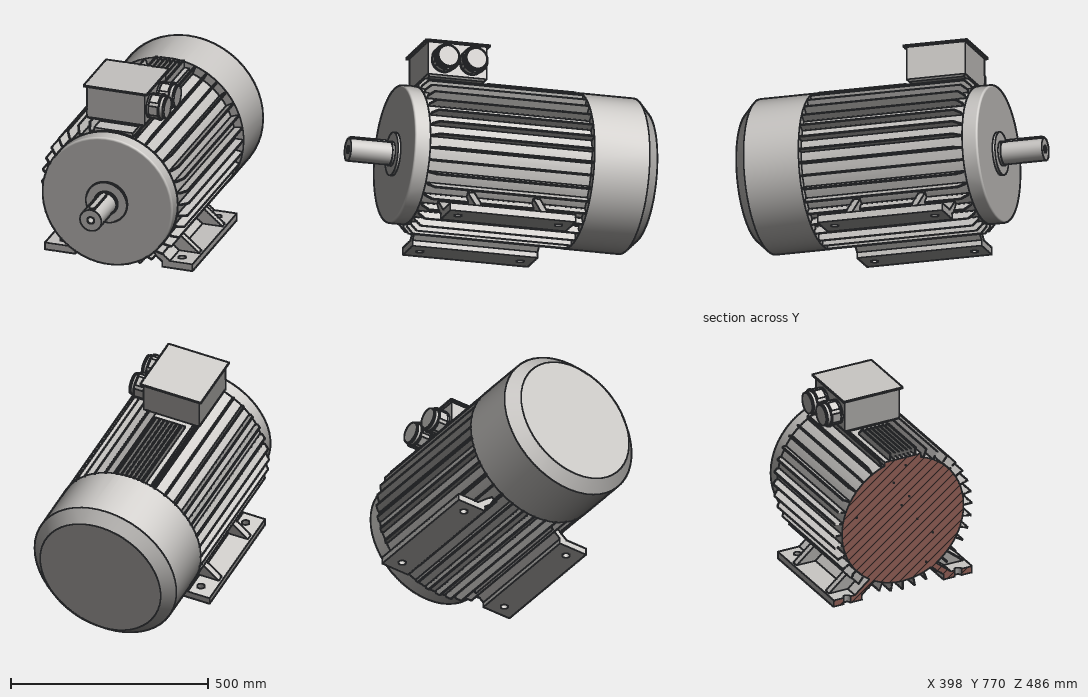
import cadquery as cq
import math


overall_length = 770
shaft_length = 110.0
boss_front = 116.0
flange_front = 123
flange_back = 164.0
fin_front = 168.0
fin_cut = 15.5
cowl_length = 176.0
cowl_front = overall_length - cowl_length

outer_radius = 199.0
core_radius = 350.0 / 2
flange_radius = 352.0 / 2
flange_fillet = 5.5
cowl_chamfer = 30.0
boss_radius = 110.0 / 2
collar_radius = 62.0 / 2
shaft_radius = 58.0 / 2
center_hole_diameter = 17.0
center_hole_mouth = 19.0
center_hole_depth = 31

key_length = 102.5
key_width = 16.0
key_top = 32.0

fin_pitch = 10
fin_thickness = 3.0
fin_radius = 198.0
fin_root = core_radius - 8
top_fin_thickness = 2.0
top_fin_spacing = 11.5
edge_fin_thickness = 4.0
edge_fin_x = 36.0
top_fin_front = 345.0

box_center = 266.5
box_width = 156.0
box_bottom = 191.0
box_chamfer = 5.5
lid_width = 169.5
lid_top = 286.0
lid_thickness = 4.0
pad_width = 105.0
pad_top = 178.0
pad_front = 171.0

gland_height = 235.0
gland_spacing = 75.0
gland_collar_diameter = 62.0
gland_collar_end = 84.0
nut_flats = 62.0
nut_corner_diameter = 67.0
nut_washer = 2.0
nut_end = 111.0
cap_diameter = 58.0
cap_end = 120.0
cap_tip_diameter = 55.0
cap_tip_end = 125.0

shaft_height = 200
foot_center = 376.0
foot_length = 333.0
foot_inner = 117.0
foot_thickness = 19.0
foot_wall_outer = 138.0
foot_wall_drop = 5.0
foot_slope = 40
wall_reach = 61.5
rib_outer = 192.0
rib_reach = 92.5
rib_width = 18.5
rib_spacing = 174.0
foot_hole_diameter = 19.0
foot_hole_x = 159.5
foot_hole_spacing = 267.0


def disc(radius, start, end):
    """Solid cylinder on the shaft axis between two Y positions."""
    return cq.Workplane("XZ", origin=(0, start, 0)).circle(radius).extrude(start - end)


def x_prism(outline, start, end):
    """Extrude a closed YZ outline between two X positions."""
    return cq.Workplane("YZ", origin=(start, 0, 0)).polyline(outline).close().extrude(end - start)


def block(x_size, y_range, z_range):
    """Rectangular block centred on X = 0."""
    depth = y_range[1] - y_range[0]
    height = z_range[1] - z_range[0]
    corner = (-x_size / 2, y_range[0], z_range[0])
    return cq.Workplane("XY", origin=corner).box(x_size, depth, height, centered=False)


def fin(thickness, front):
    """Upright fin at X = 0 whose front upper corner is cut off at 45 degrees."""
    outline = [
        (front, fin_root),
        (front, fin_radius - fin_cut),
        (front + fin_cut, fin_radius),
        (cowl_front, fin_radius),
        (cowl_front, fin_root),
    ]
    return x_prism(outline, -thickness / 2, thickness / 2)


def make_housing():
    """Core, drive-end flange and rear fan cowl."""
    core = disc(core_radius, flange_back, cowl_front)
    flange = disc(flange_radius, flange_front, flange_back).faces("<Y").edges().fillet(flange_fillet)
    cowl = disc(outer_radius, cowl_front, overall_length).faces(">Y").edges().chamfer(cowl_chamfer)
    return core.union(flange).union(cowl)


def make_shaft():
    """Bearing boss, collar and keyed shaft end with its conical-bottomed centre hole."""
    boss = disc(boss_radius, boss_front, flange_front)
    collar = disc(collar_radius, shaft_length, boss_front)
    shaft = disc(shaft_radius, 0, shaft_length)
    key = (
        cq.Workplane("XY", origin=(0, shaft_length / 2, 0))
        .slot2D(key_length, key_width, 90)
        .extrude(key_top)
    )
    hole_radius = center_hole_diameter / 2
    mouth_radius = center_hole_mouth / 2
    hole_profile = [
        (0, 0),
        (mouth_radius, 0),
        (hole_radius, mouth_radius - hole_radius),
        (hole_radius, center_hole_depth),
        (0, center_hole_depth + hole_radius),
    ]
    hole = cq.Workplane("XY").polyline(hole_profile).close().revolve(360, (0, 0, 0), (0, 1, 0))
    return boss.union(collar).union(shaft).union(key).cut(hole)


def make_fins():
    """Radial fins all round, and upright fins on the pad that stop behind the terminal box."""
    fins = []
    for angle in range(2 * fin_pitch, 360 - fin_pitch, fin_pitch):
        radial_fin = fin(fin_thickness, fin_front).rotate((0, 0, 0), (0, 1, 0), angle)
        fins.append(radial_fin)
    for index in range(-2, 3):
        top_fin = fin(top_fin_thickness, top_fin_front).translate((index * top_fin_spacing, 0, 0))
        fins.append(top_fin)
    for side in (-1, 1):
        edge_fin = fin(edge_fin_thickness, top_fin_front).translate((side * edge_fin_x, 0, 0))
        fins.append(edge_fin)
    return fins


def make_gland(y):
    """Cable gland on the +X side of the box: collar, blunt-cornered hex nut, washer and cap."""
    base = cq.Workplane("YZ", origin=(0, y, gland_height))
    collar = base.circle(gland_collar_diameter / 2).extrude(gland_collar_end)
    nut_plane = base.workplane(offset=gland_collar_end)
    nut_length = nut_end - gland_collar_end
    corners = nut_plane.circle(nut_corner_diameter / 2).extrude(nut_length)
    nut = nut_plane.polygon(6, nut_flats, circumscribed=True).extrude(nut_length).intersect(corners)
    washer = base.workplane(offset=nut_end - nut_washer).circle(nut_corner_diameter / 2).extrude(nut_washer)
    cap = base.circle(cap_diameter / 2).extrude(cap_end)
    tip = base.circle(cap_tip_diameter / 2).extrude(cap_tip_end)
    return collar.union(nut).union(washer).union(cap).union(tip)


def make_terminal_box():
    """Flat pad on the core, neck, box, overhanging lid and two cable glands."""
    pad = block(pad_width, (pad_front, cowl_front), (0, pad_top))
    neck_range = (box_center - pad_width / 2, box_center + pad_width / 2)
    neck = block(pad_width, neck_range, (pad_top, box_bottom))
    box_range = (box_center - box_width / 2, box_center + box_width / 2)
    box = block(box_width, box_range, (box_bottom, lid_top - lid_thickness))
    box = box.faces("<Z").edges().chamfer(box_chamfer)
    lid_range = (box_center - lid_width / 2, box_center + lid_width / 2)
    lid = block(lid_width, lid_range, (lid_top - lid_thickness, lid_top))
    terminal_box = pad.union(neck).union(box).union(lid)
    for side in (-1, 1):
        terminal_box = terminal_box.union(make_gland(box_center + side * gland_spacing / 2))
    return terminal_box


def foot_prism(outline, center, length):
    """Extrude a closed XZ outline along Y, centred on the given Y position."""
    plane = cq.Workplane("XZ", origin=(0, center + length / 2, 0))
    return plane.polyline(outline).close().extrude(length)


def make_foot():
    """Foot on the +X side: sole, sloping wall up to the core, two ribs and two holes."""
    bottom = -shaft_height
    sole_top = bottom + foot_thickness
    slope = math.radians(foot_slope)
    wall_dx = -wall_reach * math.cos(slope)
    wall_dz = wall_reach * math.sin(slope)
    rib_end = (rib_outer - rib_reach * math.cos(slope), sole_top + rib_reach * math.sin(slope))
    wall_corner = (foot_wall_outer, sole_top)
    wall_end = (foot_wall_outer + wall_dx, sole_top + wall_dz)
    wall_base = sole_top - foot_wall_drop
    outline = [
        (outer_radius, bottom),
        (outer_radius, sole_top),
        wall_corner,
        wall_end,
        (foot_inner + wall_dx, wall_base + wall_dz),
        (foot_inner, wall_base),
        (foot_inner, bottom),
    ]
    foot = foot_prism(outline, foot_center, foot_length)
    rib_outline = [(rib_outer, sole_top), rib_end, wall_end, wall_corner]
    for side in (-1, 1):
        foot = foot.union(foot_prism(rib_outline, foot_center + side * rib_spacing / 2, rib_width))
        hole_center = (foot_hole_x, foot_center + side * foot_hole_spacing / 2, bottom)
        hole = cq.Workplane("XY", origin=hole_center).circle(foot_hole_diameter / 2)
        foot = foot.cut(hole.extrude(foot_thickness))
    return foot


right_foot = make_foot()
left_foot = right_foot.mirror("YZ")

result = make_housing().union(make_shaft()).union(make_terminal_box())
for cooling_fin in make_fins():
    result = result.union(cooling_fin)
result = result.union(right_foot).union(left_foot)